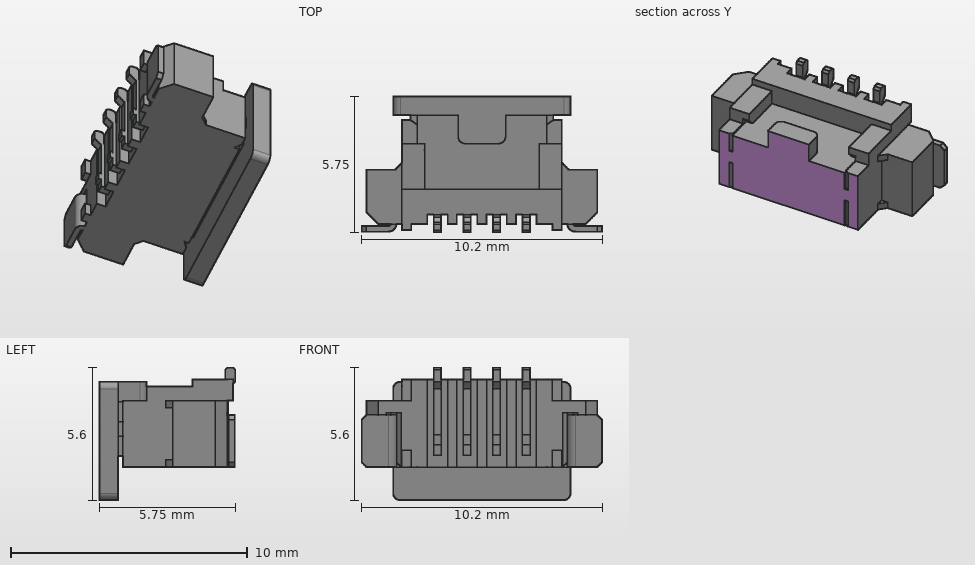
import cadquery as cq
import math


PLATE_WIDTH = 7.5
PLATE_THICKNESS = 0.8
PLATE_BOTTOM = -1.4
PLATE_TOP = 3.6
PLATE_RADIUS = 0.3
TAB_WIDTH = 2.0
TAB_END = 2.0

BODY_HALF = 3.375
BODY_START = 1.0
BODY_FRONT = 5.4
SHOULDER_START = 2.0
SHOULDER_INNER_X = 2.42
SHOULDER_TOP = 3.4
HEADER_START = 3.93
HEADER_TOP = 3.7
ARM_TOP = 2.8
FLOOR_TOP = 2.75
UNDERCUT_DEPTH = 0.27
UNDERCUT_HEIGHT = 0.3

TONGUE_HALF = 2.73
TONGUE_BOTTOM = 0.46
RAIL_HALF = 3.02
RAIL_BOTTOM = 1.3
RAIL_TOP = 1.91
ARM_CHAMFER_DEPTH = 0.2

EAR_HALF = 4.875
EAR_START = 3.1
EAR_CHAMFER = 0.5
GUSSET_LEG = 0.3
GUSSET_THICKNESS = 0.3

BUMPER_WIDTH = 0.4
BUMPER_FRONT = 5.65
LOWER_BUMPER_HEIGHT = 0.7

CONTACT_COUNT = 4
PITCH = 1.25
SLOT_WIDTH = 0.85
SLOT_FLOOR = 5.0
CONTACT_WIDTH = 0.32
CONTACT_BOTTOM = 0.49
CONTACT_TOP = 4.2
SHAFT_FRONT = 5.44
SHAFT_BEND_Z = 3.3
TAIL_BACK = 5.31
TAIL_FRONT = 5.75
TAIL_CHAMFER = 0.1
NECK_BACK = 5.1
NECK_TOP = 3.5
NUB_BOTTOM = 0.95
NUB_TOP = 1.36
NUB_FRONT = 5.57

CLIP_OUTER_X = 5.075
CLIP_THICKNESS = 0.25
CLIP_BACK = 5.47
CLIP_FRONT = CLIP_BACK + CLIP_THICKNESS
CLIP_INNER_X = 3.6
CLIP_HEIGHT = 2.2
CLIP_BEND_RADIUS = 0.35
CLIP_CHAMFER = 0.2
CLIP_SLOT_TOP = 2.3
FLARE = 0.19


def box(x0, x1, depth0, depth1, z0, z1):
    """Box between two x values, two depths and two heights."""
    block = cq.Workplane("XY").box(x1 - x0, depth1 - depth0, z1 - z0, centered=False)
    return block.translate((x0, -depth1, z0))


def plan_prism(points, z0, z1):
    """Extrude an (x, depth) outline from z0 to z1."""
    outline = [(x, -depth) for x, depth in points]
    return cq.Workplane("XY").workplane(offset=z0).polyline(outline).close().extrude(z1 - z0)


def side_prism(points, x0, x1):
    """Extrude a (depth, z) outline from x0 to x1."""
    outline = [(-depth, z) for depth, z in points]
    return cq.Workplane("YZ").workplane(offset=x0).polyline(outline).close().extrude(x1 - x0)


def both_sides(right_half):
    """The +X feature together with its mirror image."""
    return right_half.union(right_half.mirror("YZ"))


def flange():
    plate = box(-PLATE_WIDTH / 2, PLATE_WIDTH / 2, 0, PLATE_THICKNESS, PLATE_BOTTOM, PLATE_TOP)
    plate = plate.edges("|Y").fillet(PLATE_RADIUS)
    tab = box(-TAB_WIDTH / 2, TAB_WIDTH / 2, 0, TAB_END, FLOOR_TOP, PLATE_TOP)
    tab = tab.edges("|Z and <Y").fillet(PLATE_RADIUS)
    return plate.union(tab)


def tongue():
    core = box(-TONGUE_HALF, TONGUE_HALF, PLATE_THICKNESS, SHOULDER_START, TONGUE_BOTTOM, FLOOR_TOP)
    rails = box(-RAIL_HALF, RAIL_HALF, PLATE_THICKNESS, SHOULDER_START, RAIL_BOTTOM, RAIL_TOP)
    return core.union(rails)


def arm_chamfer():
    """Corner removed from the inner end of the right arm."""
    outline = [
        (TONGUE_HALF, BODY_START),
        (RAIL_HALF, BODY_START),
        (TONGUE_HALF, BODY_START + ARM_CHAMFER_DEPTH),
    ]
    return plan_prism(outline, 0, ARM_TOP)


def right_shoulder():
    """Raised block beside the floor, undercut at its inner rear corner."""
    block = box(SHOULDER_INNER_X, BODY_HALF, SHOULDER_START, HEADER_START, FLOOR_TOP, SHOULDER_TOP)
    undercut_outline = [
        (SHOULDER_START, FLOOR_TOP),
        (SHOULDER_START + UNDERCUT_DEPTH, FLOOR_TOP),
        (SHOULDER_START, FLOOR_TOP + UNDERCUT_HEIGHT),
    ]
    return block.cut(side_prism(undercut_outline, SHOULDER_INNER_X, TONGUE_HALF))


def right_ear():
    block_outline = [
        (BODY_HALF, EAR_START),
        (EAR_HALF, EAR_START),
        (EAR_HALF, BODY_FRONT - EAR_CHAMFER),
        (EAR_HALF - EAR_CHAMFER, BODY_FRONT),
        (BODY_HALF, BODY_FRONT),
    ]
    ear = plan_prism(block_outline, 0, ARM_TOP)
    gusset_outline = [
        (BODY_HALF, EAR_START - GUSSET_LEG),
        (BODY_HALF + GUSSET_LEG, EAR_START),
        (BODY_HALF, EAR_START),
    ]
    for bottom in (0, ARM_TOP - GUSSET_THICKNESS):
        ear = ear.union(plan_prism(gusset_outline, bottom, bottom + GUSSET_THICKNESS))
    return ear


def right_bumpers():
    inner_x = BODY_HALF - BUMPER_WIDTH
    lower = box(inner_x, BODY_HALF, SLOT_FLOOR, BUMPER_FRONT, 0, LOWER_BUMPER_HEIGHT)
    upper = box(inner_x, BODY_HALF, SLOT_FLOOR, BUMPER_FRONT, ARM_TOP, HEADER_TOP)
    return lower.union(upper)


def right_clip_slot():
    """Blind slot open at the front, flared at 45 degrees on both sides and at the bottom."""
    inner_x = CLIP_INNER_X
    outer_x = CLIP_INNER_X + CLIP_THICKNESS
    floor = BODY_FRONT - FLARE
    plan = [
        (inner_x - FLARE, BODY_FRONT),
        (inner_x, floor),
        (outer_x, floor),
        (outer_x + FLARE, BODY_FRONT),
    ]
    profile = [
        (BODY_FRONT, 0),
        (floor, FLARE),
        (floor, CLIP_SLOT_TOP),
        (BODY_FRONT, CLIP_SLOT_TOP),
    ]
    return plan_prism(plan, 0, CLIP_SLOT_TOP).intersect(side_prism(profile, BODY_HALF, EAR_HALF))


def right_clip():
    """L-shaped strip: a leg in the slot, a round bend and a wing along the front."""
    leg_end = BODY_FRONT - FLARE
    inner_radius = CLIP_BEND_RADIUS - CLIP_THICKNESS
    bend_x = CLIP_INNER_X + CLIP_BEND_RADIUS
    bend_depth = CLIP_FRONT - CLIP_BEND_RADIUS
    diagonal = math.sqrt(0.5)

    def on_bend(radius):
        return (bend_x - radius * diagonal, -(bend_depth + radius * diagonal))

    strip = (
        cq.Workplane("XY")
        .moveTo(CLIP_INNER_X, -leg_end)
        .lineTo(CLIP_INNER_X, -bend_depth)
        .threePointArc(on_bend(CLIP_BEND_RADIUS), (bend_x, -CLIP_FRONT))
        .lineTo(CLIP_OUTER_X, -CLIP_FRONT)
        .lineTo(CLIP_OUTER_X, -CLIP_BACK)
        .lineTo(bend_x, -CLIP_BACK)
        .threePointArc(on_bend(inner_radius), (CLIP_INNER_X + CLIP_THICKNESS, -bend_depth))
        .lineTo(CLIP_INNER_X + CLIP_THICKNESS, -leg_end)
        .close()
        .extrude(CLIP_HEIGHT)
    )
    return strip.faces(">X").edges("|Y").chamfer(CLIP_CHAMFER)


def contact(x):
    """Contact with a shaft on the slot floor, a front nub and a tail stepped forward at 45 degrees."""
    tail_bottom = SHAFT_BEND_Z + TAIL_FRONT - SHAFT_FRONT
    shaft_top = NECK_TOP - (TAIL_BACK - NECK_BACK)
    outline = [
        (SLOT_FLOOR, CONTACT_BOTTOM),
        (SHAFT_FRONT, CONTACT_BOTTOM),
        (SHAFT_FRONT, NUB_BOTTOM),
        (NUB_FRONT, NUB_BOTTOM),
        (NUB_FRONT, NUB_TOP),
        (SHAFT_FRONT, NUB_TOP),
        (SHAFT_FRONT, SHAFT_BEND_Z),
        (TAIL_FRONT, tail_bottom),
        (TAIL_FRONT, CONTACT_TOP - TAIL_CHAMFER),
        (TAIL_FRONT - TAIL_CHAMFER, CONTACT_TOP),
        (TAIL_BACK + TAIL_CHAMFER, CONTACT_TOP),
        (TAIL_BACK, CONTACT_TOP - TAIL_CHAMFER),
        (TAIL_BACK, NECK_TOP),
        (NECK_BACK, shaft_top),
        (SLOT_FLOOR, shaft_top),
    ]
    return side_prism(outline, x - CONTACT_WIDTH / 2, x + CONTACT_WIDTH / 2)


def housing():
    body = box(-BODY_HALF, BODY_HALF, BODY_START, SHOULDER_START, 0, ARM_TOP)
    body = body.cut(box(-TONGUE_HALF, TONGUE_HALF, BODY_START, SHOULDER_START, FLOOR_TOP, ARM_TOP))
    body = body.cut(both_sides(arm_chamfer()))
    body = body.union(box(-BODY_HALF, BODY_HALF, SHOULDER_START, HEADER_START, 0, FLOOR_TOP))
    body = body.union(box(-BODY_HALF, BODY_HALF, HEADER_START, BODY_FRONT, 0, HEADER_TOP))
    body = body.union(both_sides(right_shoulder()))
    body = body.union(both_sides(right_ear()))
    body = body.union(both_sides(right_bumpers()))
    return body.cut(both_sides(right_clip_slot()))


result = housing().union(tongue()).union(flange())
for index in range(CONTACT_COUNT):
    contact_x = (index - (CONTACT_COUNT - 1) / 2) * PITCH
    slot_left = contact_x - SLOT_WIDTH / 2
    slot_right = contact_x + SLOT_WIDTH / 2
    result = result.cut(box(slot_left, slot_right, SLOT_FLOOR, BODY_FRONT, 0, HEADER_TOP))
    result = result.union(contact(contact_x))
result = result.union(both_sides(right_clip()))